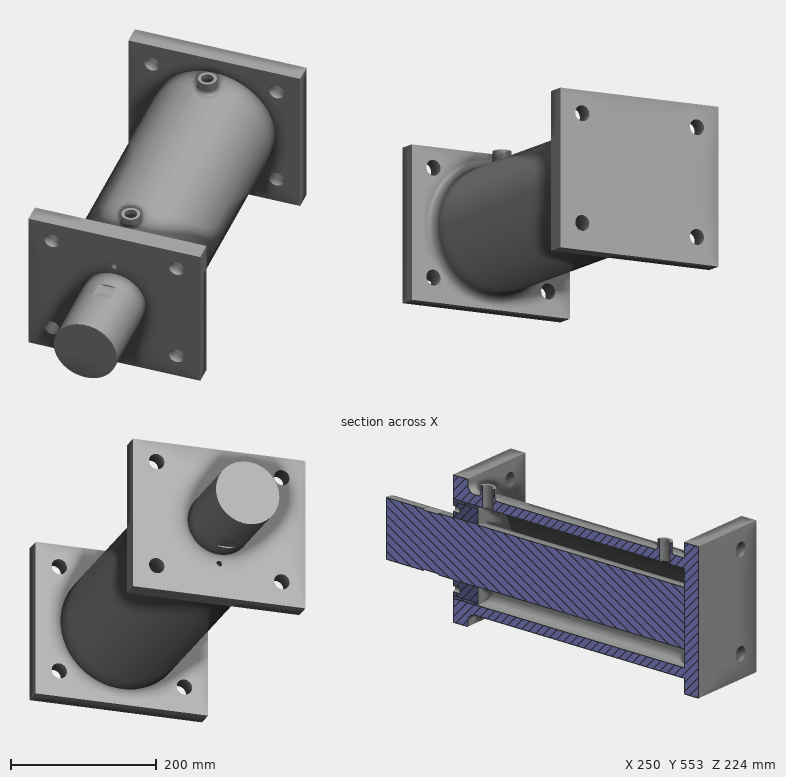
import cadquery as cq
import math


plate_width = 250.0
plate_thickness = 26.0
front_plate_height = 218.0
rear_plate_height = 224.0
bolt_hole_diameter = 22.0
bolt_spacing_x = 181.5
bolt_spacing_z = 154.0
bolt_pattern_offset_z = 3.0

overall_length = 553.0
rod_projection = 119.0
rear_face_y = overall_length - rod_projection
barrel_end_y = rear_face_y - plate_thickness

barrel_diameter = 178.0
bore_diameter = 146.0
weld_radius = 12.0

port_diameter = 26.0
port_hole_diameter = 17.5
port_top_z = 105.5
port_offset_x = 2.0
port_weld_radius = 4.5
port_positions_y = (61.0, 374.0)

gland_diameter = 138.0
gland_length = 44.0
spanner_hole_diameter = 8.5
spanner_hole_depth = 11.0
spanner_hole_offset = 59.0

rod_diameter = 92.0
flat_size = 26.0
flat_start = 26.5


def y_cylinder(diameter, start_y, end_y):
    """Cylinder on the Y axis between two Y positions."""
    return cq.Workplane("XZ", origin=(0, start_y, 0)).circle(diameter / 2).extrude(start_y - end_y)


def mounting_plate(height, start_y):
    """Rectangular plate with four bolt holes, extending toward +Y."""
    plate = cq.Workplane("XZ", origin=(0, start_y, 0)).rect(plate_width, height).extrude(-plate_thickness)
    holes = (
        cq.Workplane("XZ", origin=(0, start_y, bolt_pattern_offset_z))
        .rect(bolt_spacing_x, bolt_spacing_z, forConstruction=True)
        .vertices()
        .circle(bolt_hole_diameter / 2)
        .extrude(-plate_thickness)
    )
    return plate.cut(holes)


def barrel_weld():
    """Concave weld ring between the barrel and the front plate."""
    barrel_radius = barrel_diameter / 2
    mid_offset = weld_radius * (1 - math.sqrt(0.5))
    return (
        cq.Workplane("XY")
        .moveTo(bore_diameter / 2, plate_thickness)
        .lineTo(barrel_radius + weld_radius, plate_thickness)
        .threePointArc(
            (barrel_radius + mid_offset, plate_thickness + mid_offset),
            (barrel_radius, plate_thickness + weld_radius),
        )
        .lineTo(bore_diameter / 2, plate_thickness + weld_radius)
        .close()
        .revolve(360, (0, 0, 0), (0, 1, 0))
    )


def port_cylinder(diameter, port_y):
    """Vertical cylinder from the barrel axis to the top of a port."""
    return cq.Workplane("XY", origin=(port_offset_x, port_y, 0)).circle(diameter / 2).extrude(port_top_z)


def make_housing():
    """Both plates, the barrel and the oil ports, welded into one body."""
    housing = y_cylinder(barrel_diameter, 0, barrel_end_y)
    for port_y in port_positions_y:
        housing = housing.union(port_cylinder(port_diameter, port_y))

    saddle_zone = cq.selectors.BoxSelector(
        (-port_diameter, plate_thickness, 0),
        (port_diameter, barrel_end_y - weld_radius, (barrel_diameter / 2 + port_top_z) / 2),
        boundingbox=True,
    )
    housing = housing.edges(saddle_zone).fillet(port_weld_radius)

    housing = housing.union(mounting_plate(front_plate_height, 0)).union(barrel_weld())
    housing = housing.cut(y_cylinder(bore_diameter, 0, barrel_end_y))
    for port_y in port_positions_y:
        housing = housing.cut(port_cylinder(port_hole_diameter, port_y))
    return housing.union(mounting_plate(rear_plate_height, barrel_end_y))


def make_gland_ring():
    """Thin ring filling the gap between the gland and the bore."""
    return y_cylinder(bore_diameter, 0, gland_length).cut(y_cylinder(gland_diameter, 0, gland_length))


def make_gland():
    """Rod guide in the front of the housing, with two blind spanner holes."""
    gland = y_cylinder(gland_diameter, 0, gland_length).cut(y_cylinder(rod_diameter, 0, gland_length))
    spanner_holes = (
        cq.Workplane("XZ")
        .pushPoints([(0, spanner_hole_offset), (0, -spanner_hole_offset)])
        .circle(spanner_hole_diameter / 2)
        .extrude(-spanner_hole_depth)
    )
    return gland.cut(spanner_holes)


def make_rod():
    """Rod reaching back to the rear plate, with a square flat on its top and bottom."""
    rod = y_cylinder(rod_diameter, -rod_projection, barrel_end_y)
    flat_height = math.sqrt((rod_diameter / 2) ** 2 - (flat_size / 2) ** 2)
    cutter_height = rod_diameter / 2 - flat_height
    for side in (1, -1):
        cutter = cq.Workplane("XY").box(flat_size, flat_size, cutter_height).translate(
            (0, -flat_start - flat_size / 2, side * (flat_height + cutter_height / 2))
        )
        rod = rod.cut(cutter)
    return rod


housing = make_housing()
gland_ring = make_gland_ring()
gland = make_gland()
rod = make_rod()

result = cq.Compound.makeCompound([housing.val(), gland_ring.val(), gland.val(), rod.val()])